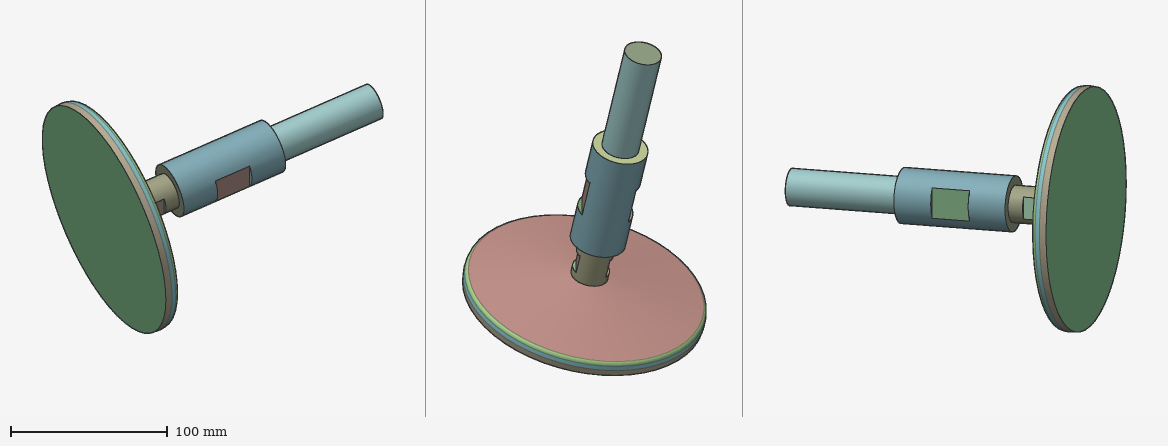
import cadquery as cq

TOTAL_LENGTH = 199.0

FOOT_DIAMETER = 158.0
RIM_INSET = 0.4
RIM_WIDEST_Y = 4.4
RIM_TOP_Y = 7.4
SHOULDER_Y = 9.8
SHOULDER_INSET = 2.4
FOOT_HEIGHT = 20.7

ROD_DIAMETER = 24.0
GRIP_DIAMETER = 36.0
GRIP_START_Y = 48.5
GRIP_LENGTH = 75.0

GRIP_FLAT_LENGTH = 25.3
GRIP_ACROSS_FLATS = 30.0
NECK_FLAT_LENGTH = 13.0
NECK_ACROSS_FLATS = 19.3
NECK_FLAT_START_Y = 25.9

AXIS_START = (0, 0, 0)
AXIS_END = (0, 1, 0)


def make_foot():
    """Revolved disc: tapered rim, rounded shoulder, cone up to the rod."""
    widest_radius = FOOT_DIAMETER / 2
    rim_radius = widest_radius - RIM_INSET
    shoulder_radius = widest_radius - SHOULDER_INSET
    return (
        cq.Workplane("XY")
        .lineTo(rim_radius, 0)
        .lineTo(widest_radius, RIM_WIDEST_Y)
        .lineTo(rim_radius, RIM_TOP_Y)
        .tangentArcPoint((shoulder_radius, SHOULDER_Y), relative=False)
        .lineTo(ROD_DIAMETER / 2, FOOT_HEIGHT)
        .lineTo(0, FOOT_HEIGHT)
        .close()
        .revolve(360, AXIS_START, AXIS_END)
    )


def cylinder_along_y(diameter, start_y, length):
    return (
        cq.Workplane("XZ", origin=(0, start_y, 0))
        .circle(diameter / 2)
        .extrude(-length)
    )


def cut_wrench_flats(body, diameter, across_flats, start_y, length):
    """Cut two parallel flats, one on each X side of a round stretch."""
    depth = (diameter - across_flats) / 2
    center_x = (across_flats + depth) / 2
    center_y = start_y + length / 2
    for side in (-1, 1):
        cutter = cq.Workplane("XY").box(depth, length, diameter)
        body = body.cut(cutter.translate((side * center_x, center_y, 0)))
    return body


def make_spindle():
    """Rod and grip in one piece, with flats on the neck and on the grip."""
    rod = cylinder_along_y(ROD_DIAMETER, FOOT_HEIGHT, TOTAL_LENGTH - FOOT_HEIGHT)
    grip = cylinder_along_y(GRIP_DIAMETER, GRIP_START_Y, GRIP_LENGTH)
    spindle = rod.union(grip)
    spindle = cut_wrench_flats(
        spindle, ROD_DIAMETER, NECK_ACROSS_FLATS, NECK_FLAT_START_Y, NECK_FLAT_LENGTH
    )
    grip_flat_start_y = GRIP_START_Y + (GRIP_LENGTH - GRIP_FLAT_LENGTH) / 2
    return cut_wrench_flats(
        spindle, GRIP_DIAMETER, GRIP_ACROSS_FLATS, grip_flat_start_y, GRIP_FLAT_LENGTH
    )


foot = make_foot()
spindle = make_spindle()
result = cq.Compound.makeCompound([foot.val(), spindle.val()])